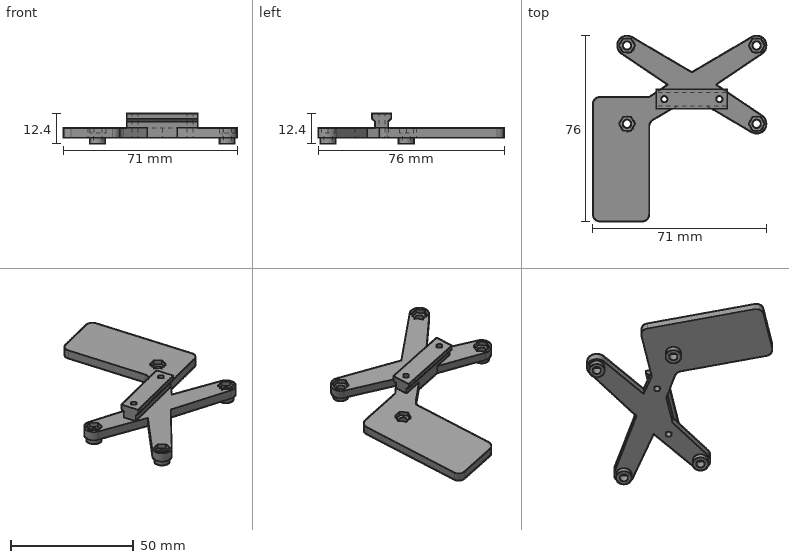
import cadquery as cq
import math


hole_pitch_x = 53.0
hole_pitch_y = 32.0
arm_end_radius = 4.0
notch_half_width = 9.95
notch_half_height = 5.1
plate_thickness = 4.0

base_width = 23.1
base_length = 51.0
base_left_margin = 14.0
base_front_margin = 40.0
corner_radius = 3.05

bolt_diameter = 3.35
nut_across_corners = 6.5
nut_pocket_depth = 2.0
boss_diameter = 6.4
boss_height = 2.5

rail_length = 29.1
rail_center_y = -5.9
rail_height = 5.9
head_width = 7.9
web_width = 5.5
head_edge_height = 2.1
rail_hole_pitch = 22.5
rail_hole_diameter = 2.4

hole_x = hole_pitch_x / 2
hole_y = hole_pitch_y / 2
hole_points = [(x, y) for x in (-hole_x, hole_x) for y in (-hole_y, hole_y)]
rail_top = plate_thickness + rail_height
base_left = -hole_x - base_left_margin
base_right = base_left + base_width
base_front = -hole_y - base_front_margin
base_back = base_front + base_length


def end_point(angle):
    """Point on the upper right arm end at the given angle."""
    return (hole_x + arm_end_radius * math.cos(angle), hole_y + arm_end_radius * math.sin(angle))


def tangent_angle(notch, side):
    """Angle on the upper right arm end where the line from a notch touches it.

    side is +1 for the upper edge of the arm and -1 for the lower edge.
    """
    dx = notch[0] - hole_x
    dy = notch[1] - hole_y
    return math.atan2(dy, dx) - side * math.acos(arm_end_radius / math.hypot(dx, dy))


upper_angle = tangent_angle((0, notch_half_height), 1)
lower_angle = tangent_angle((notch_half_width, 0), -1)
upper_tangent = end_point(upper_angle)
lower_tangent = end_point(lower_angle)
arm_tip = end_point(math.atan2(hole_y, hole_x))


def make_arm(sign_x, sign_y):
    """One tapered arm, from the centre of the cross to its round end."""
    def place(point):
        return (sign_x * point[0], sign_y * point[1])

    return (
        cq.Workplane("XY")
        .moveTo(0, 0)
        .lineTo(*place((0, notch_half_height)))
        .lineTo(*place(upper_tangent))
        .threePointArc(place(arm_tip), place(lower_tangent))
        .lineTo(*place((notch_half_width, 0)))
        .close()
        .extrude(plate_thickness)
    )


def make_base():
    """Base plate, rounded at every corner but the one merging with the arm."""
    return (
        cq.Workplane("XY")
        .box(base_width, base_length, plate_thickness, centered=False)
        .translate((base_left, base_front, 0))
        .edges("|Z and (<X or <Y)")
        .fillet(corner_radius)
    )


def make_rail():
    """Rail whose web reaches down through the plate to fill the lower notch."""
    head_half = head_width / 2
    web_half = web_width / 2
    head_edge_bottom = rail_top - head_edge_height
    web_top = head_edge_bottom - (head_half - web_half)
    right_side = [
        (web_half, 0),
        (web_half, web_top),
        (head_half, head_edge_bottom),
        (head_half, rail_top),
    ]
    left_side = [(-y, z) for y, z in reversed(right_side)]
    return (
        cq.Workplane("YZ")
        .polyline(right_side + left_side)
        .close()
        .extrude(rail_length / 2, both=True)
        .translate((0, rail_center_y, 0))
    )


plate = make_base()
for sign_x in (-1, 1):
    for sign_y in (-1, 1):
        plate = plate.union(make_arm(sign_x, sign_y))

edge_slope = (upper_tangent[1] - notch_half_height) / upper_tangent[0]
inside_corner_y = -notch_half_height + edge_slope * base_right
inside_corner = (base_right, inside_corner_y, plate_thickness / 2)
plate = plate.edges(cq.selectors.NearestToPointSelector(inside_corner)).fillet(corner_radius)

bosses = cq.Workplane("XY").pushPoints(hole_points).circle(boss_diameter / 2).extrude(-boss_height)
result = plate.union(make_rail()).union(bosses)

bolt_holes = (
    cq.Workplane("XY", origin=(0, 0, -boss_height))
    .pushPoints(hole_points)
    .circle(bolt_diameter / 2)
    .extrude(boss_height + plate_thickness)
)
nut_pockets = (
    cq.Workplane("XY", origin=(0, 0, plate_thickness))
    .pushPoints(hole_points)
    .polygon(6, nut_across_corners)
    .extrude(-nut_pocket_depth)
)
result = result.cut(bolt_holes).cut(nut_pockets)

rail_holes = (
    cq.Workplane("XY")
    .pushPoints([(side * rail_hole_pitch / 2, rail_center_y) for side in (-1, 1)])
    .circle(rail_hole_diameter / 2)
    .extrude(rail_top)
)
result = result.cut(rail_holes)